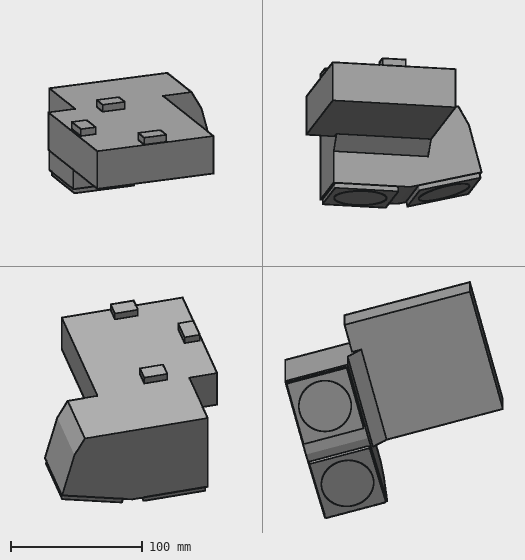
import cadquery as cq
import math

total_length = 152.0
total_depth = 137.3

slab_left = 52.9
slab_depth = 95.6
slab_height = 30.2

housing_width = 49.4
housing_front = 22.0
housing_height = 65.8
floor_bend_y = 82.0
tilt_angle = 15.0
rear_bend_drop = 14.3
upper_lean_angle = 30.0

gusset_leg = 10.8

foot_long = 18.2
foot_short = 12.2
foot_height = 5.6
side_foot_y = 48.0
left_foot_x = 61.0
right_foot_x = 145.0
front_foot_x = 105.0
front_foot_y = 7.9

pad_width = 47.7
pad_length = 49.2
pad_thickness = 3.8
pad_corner_radius = 1.2
pad_margin = 1.4
pad_center_x = 24.5
lens_diameter = 40.0
lens_thickness = 0.3


def box_between(x0, x1, y0, y1, z0, z1):
    return cq.Workplane("XY").box(x1 - x0, y1 - y0, z1 - z0, centered=False).translate((x0, y0, z0))


def make_housing():
    slope = math.tan(math.radians(tilt_angle))
    heel_z = -housing_height + (total_depth - floor_bend_y) * slope
    rear_bend_y = total_depth - (-rear_bend_drop - heel_z) * slope
    top_rear_y = rear_bend_y - rear_bend_drop * math.tan(math.radians(upper_lean_angle))
    outline = [
        (housing_front, 0),
        (top_rear_y, 0),
        (rear_bend_y, -rear_bend_drop),
        (total_depth, heel_z),
        (floor_bend_y, -housing_height),
        (housing_front, -housing_height),
    ]
    return cq.Workplane("YZ").polyline(outline).close().extrude(housing_width)


def make_gusset():
    outer_x = housing_width + gusset_leg
    outline = [
        (housing_width, 0),
        (outer_x, 0),
        (outer_x, -slab_height),
        (housing_width, -slab_height - gusset_leg),
    ]
    gusset = cq.Workplane("XZ").polyline(outline).close().extrude(housing_front - slab_depth)
    return gusset.translate((0, housing_front, 0))


def make_foot(x, y, size_x, size_y):
    return box_between(x - size_x / 2, x + size_x / 2, y - size_y / 2, y + size_y / 2, 0, foot_height)


def make_pad():
    pad = cq.Workplane("XY").rect(pad_width, pad_length).extrude(-pad_thickness)
    pad = pad.edges("|Z").fillet(pad_corner_radius)
    lens = cq.Workplane("XY", origin=(0, 0, -pad_thickness)).circle(lens_diameter / 2).extrude(-lens_thickness)
    return pad.union(lens)


def make_tilted_pad():
    tilt = math.radians(tilt_angle)
    floor_length = (total_depth - floor_bend_y) / math.cos(tilt)
    distance = floor_length - pad_margin - pad_length / 2
    center_y = floor_bend_y + distance * math.cos(tilt)
    center_z = -housing_height + distance * math.sin(tilt)
    pad = make_pad().rotate((0, 0, 0), (1, 0, 0), tilt_angle)
    return pad.translate((pad_center_x, center_y, center_z))


slab = box_between(slab_left, total_length, 0, slab_depth, -slab_height, 0)
result = slab.union(make_housing()).union(make_gusset())

for foot_x in (left_foot_x, right_foot_x):
    result = result.union(make_foot(foot_x, side_foot_y, foot_short, foot_long))
result = result.union(make_foot(front_foot_x, front_foot_y, foot_long, foot_short))

flat_pad_y = housing_front + pad_margin + pad_length / 2
result = result.union(make_pad().translate((pad_center_x, flat_pad_y, -housing_height)))
result = result.union(make_tilted_pad())